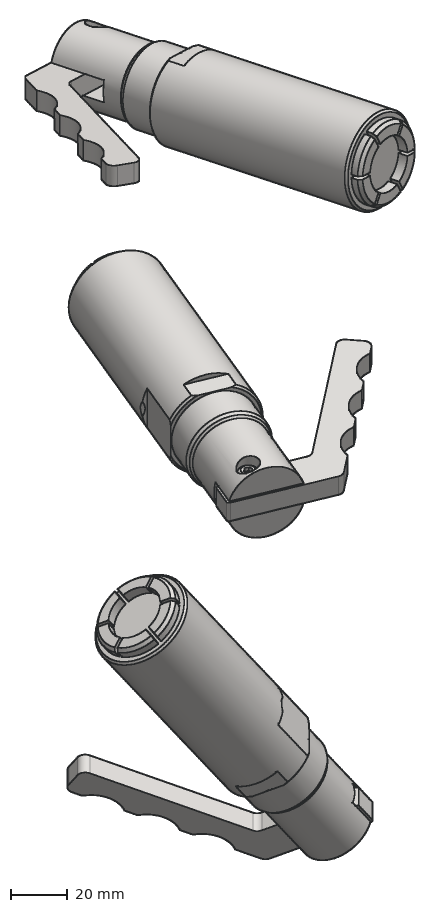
import cadquery as cq
import math

OVERALL_LENGTH = 140.8

SPINDLE_START = 0.5
SPINDLE_RADIUS = 29.7 / 2
NECK_RADIUS = 32.8 / 2
NECK_BEVEL_START = 32.2
NECK_BEVEL_STEEP = 0.8
NECK_BEVEL_LENGTH = 2.3
GRIP_START = 47.7
GRIP_END = 136.7
GRIP_RADIUS = 37.6 / 2
GRIP_CHAMFER = 0.8
COLLAR_RADIUS = 16.0
COLLAR_CHAMFER = 1.3
COLLAR_BORE_DIAMETER = 21.1
COLLAR_SLOTS = 6
COLLAR_SLOT_WIDTH = 1.3

FLAT_DISTANCE = 16.8
WRENCH_FLAT_LENGTH = 7.9
SIDE_FLAT_LENGTH = 21.4
COUNTERSINK_FROM_FLAT_END = 4.4
COUNTERSINK_RADIUS = 5.6

LEVER_THICKNESS = 8.0
LEVER_TOP = 15.0
LEVER_TOP_WIDTH = 10.4
LEVER_WIDTH = 15.3
LEVER_TAPER_END = 2.5
LEVER_TOP_ROUND = 1.0
HANDLE_ANGLE = 30.0
HANDLE_ELBOW = -29.0
HANDLE_THICKNESS = 12.5
HANDLE_LENGTH = 81.4
HANDLE_ROUND = 3.1
INNER_ELBOW_ROUND = 3.1
SCALLOPS = 3
SCALLOP_START = 12.2
SCALLOP_PITCH = 22.4
SCALLOP_CHORD = 17.0
SCALLOP_DEPTH = 3.5

SLOT_WIDTH = 8.6
SLOT_TOP_LENGTH = 12.8
SLOT_BOTTOM_LENGTH = 24.5

PIVOT_X = 6.0
PIVOT_Y = 4.6
HEAD_DIAMETER = 8.3
HEAD_FACE_DIAMETER = 5.4
HEAD_BORE_DIAMETER = 8.5
HEAD_BOTTOM = 8.5
HEAD_HEIGHT = 3.2
HEAD_RIM = 0.4
SHANK_DIAMETER = 4.9
SHANK_BOTTOM = -9.9
HEX_FLATS = 2.8
HEX_DEPTH = 1.5


def housing_blank():
    """Solid of revolution about X with all the outside steps and chamfers."""
    bevel_end = NECK_BEVEL_START + NECK_BEVEL_LENGTH
    profile = [
        (SPINDLE_START, 0),
        (SPINDLE_START, SPINDLE_RADIUS),
        (NECK_BEVEL_START, SPINDLE_RADIUS),
        (NECK_BEVEL_START + NECK_BEVEL_STEEP, SPINDLE_RADIUS + NECK_BEVEL_STEEP),
        (bevel_end, NECK_RADIUS),
        (GRIP_START, NECK_RADIUS),
        (GRIP_START, GRIP_RADIUS - GRIP_CHAMFER),
        (GRIP_START + GRIP_CHAMFER, GRIP_RADIUS),
        (GRIP_END - GRIP_CHAMFER, GRIP_RADIUS),
        (GRIP_END, GRIP_RADIUS - GRIP_CHAMFER),
        (GRIP_END, COLLAR_RADIUS),
        (OVERALL_LENGTH - COLLAR_CHAMFER, COLLAR_RADIUS),
        (OVERALL_LENGTH, COLLAR_RADIUS - COLLAR_CHAMFER),
        (OVERALL_LENGTH, 0),
    ]
    return cq.Workplane("XY").polyline(profile).close().revolve(360, (0, 0, 0), (1, 0, 0))


def collar_cuts():
    """Bore of the end collar and the radial slots through its wall."""
    length = OVERALL_LENGTH - GRIP_END
    cuts = cq.Workplane("YZ", origin=(GRIP_END, 0, 0)).circle(COLLAR_BORE_DIAMETER / 2).extrude(length)
    slot = cq.Workplane("XY").box(length, GRIP_RADIUS, COLLAR_SLOT_WIDTH, centered=(False, False, True))
    slot = slot.translate((GRIP_END, 0, 0))
    for index in range(COLLAR_SLOTS):
        cuts = cuts.union(slot.rotate((0, 0, 0), (1, 0, 0), index * 360 / COLLAR_SLOTS))
    return cuts


def flat_cut(length, angle):
    """Block that mills a flat at the front of the grip; angle turns it from +Z about X."""
    block = cq.Workplane("XY").box(length, 2 * GRIP_RADIUS, GRIP_RADIUS, centered=(False, True, False))
    return block.translate((GRIP_START, 0, FLAT_DISTANCE)).rotate((0, 0, 0), (1, 0, 0), angle)


def side_countersink():
    """45 degree cone that opens outwards from the +Y flat and breaks the flat's end wall."""
    depth = GRIP_RADIUS - FLAT_DISTANCE
    x = GRIP_START + SIDE_FLAT_LENGTH - COUNTERSINK_FROM_FLAT_END
    cone = cq.Solid.makeCone(
        COUNTERSINK_RADIUS - depth, COUNTERSINK_RADIUS, depth,
        cq.Vector(x, FLAT_DISTANCE, 0), cq.Vector(0, 1, 0),
    )
    return cq.Workplane(obj=cone)


def lever_slot():
    """Slot through the spindle with a slanted end."""
    outline = [
        (0, SPINDLE_RADIUS),
        (SLOT_TOP_LENGTH, SPINDLE_RADIUS),
        (SLOT_BOTTOM_LENGTH, -SPINDLE_RADIUS),
        (0, -SPINDLE_RADIUS),
    ]
    return cq.Workplane("XY").polyline(outline).close().extrude(SLOT_WIDTH / 2, both=True)


def pivot_cylinder(diameter, bottom, top):
    return cq.Workplane("XY", origin=(PIVOT_X, PIVOT_Y, bottom)).circle(diameter / 2).extrude(top - bottom)


def make_housing():
    body = housing_blank().cut(collar_cuts())
    body = body.cut(flat_cut(WRENCH_FLAT_LENGTH, 0)).cut(flat_cut(WRENCH_FLAT_LENGTH, 180))
    body = body.cut(flat_cut(SIDE_FLAT_LENGTH, -90)).cut(side_countersink())
    body = body.cut(lever_slot())
    body = body.cut(pivot_cylinder(SHANK_DIAMETER, SHANK_BOTTOM, HEAD_BOTTOM))
    return body.cut(pivot_cylinder(HEAD_BORE_DIAMETER, HEAD_BOTTOM, SPINDLE_RADIUS))


def handle_point(along, inward=0.0):
    """Point on the handle: distance along its outer edge, and inward from that edge."""
    angle = math.radians(HANDLE_ANGLE)
    return (
        along * math.cos(angle) + inward * math.sin(angle),
        HANDLE_ELBOW - along * math.sin(angle) + inward * math.cos(angle),
    )


def round_corner(plate, point, radius):
    """Fillet the upright edge at an (x, y) corner of the plate."""
    return plate.edges(cq.selectors.NearestToPointSelector((*point, 0))).fillet(radius)


def lever_plate():
    """Flat lever: a straight arm in the spindle slot and a handle sloping away from it."""
    angle = math.radians(HANDLE_ANGLE)
    inner_start = (LEVER_WIDTH - HANDLE_THICKNESS * math.sin(angle)) / math.cos(angle)
    inner_elbow = handle_point(inner_start, HANDLE_THICKNESS)
    outer_elbow = handle_point(0)
    outer_tip = handle_point(HANDLE_LENGTH)
    inner_tip = handle_point(HANDLE_LENGTH, HANDLE_THICKNESS)
    outline = cq.Workplane("XY", origin=(0, 0, -LEVER_THICKNESS / 2)).polyline([
        (0, LEVER_TOP),
        (LEVER_TOP_WIDTH, LEVER_TOP),
        (LEVER_WIDTH, LEVER_TAPER_END),
        inner_elbow,
        inner_tip,
        outer_tip,
        outer_elbow,
    ])
    plate = outline.close().extrude(LEVER_THICKNESS)
    plate = round_corner(plate, (0, LEVER_TOP), LEVER_TOP_ROUND)
    plate = round_corner(plate, inner_elbow, INNER_ELBOW_ROUND)
    for corner in (outer_elbow, outer_tip, inner_tip):
        plate = round_corner(plate, corner, HANDLE_ROUND)
    return plate


def finger_scallops():
    """Cylinders that cut the finger grips into the handle's outer edge."""
    radius = (SCALLOP_CHORD**2 / 4 + SCALLOP_DEPTH**2) / (2 * SCALLOP_DEPTH)
    centres = [
        handle_point(SCALLOP_START + SCALLOP_CHORD / 2 + index * SCALLOP_PITCH, SCALLOP_DEPTH - radius)
        for index in range(SCALLOPS)
    ]
    return cq.Workplane("XY").pushPoints(centres).circle(radius).extrude(LEVER_THICKNESS, both=True)


def pivot_screw():
    """Shank and rounded head with a hexagon socket."""
    head_top = HEAD_BOTTOM + HEAD_HEIGHT
    rim_top = HEAD_BOTTOM + HEAD_RIM
    head_radius = HEAD_DIAMETER / 2
    face_radius = HEAD_FACE_DIAMETER / 2
    crown = (
        face_radius + (head_radius - face_radius) * math.sqrt(0.5),
        rim_top + (head_top - rim_top) * math.sqrt(0.5),
    )
    head = (
        cq.Workplane("XZ", origin=(PIVOT_X, PIVOT_Y, 0))
        .moveTo(0, HEAD_BOTTOM)
        .lineTo(head_radius, HEAD_BOTTOM)
        .lineTo(head_radius, rim_top)
        .threePointArc(crown, (face_radius, head_top))
        .lineTo(0, head_top)
        .close()
        .revolve(360, (0, 0, 0), (0, 1, 0))
    )
    hex_corners = HEX_FLATS / math.cos(math.radians(30))
    socket = (
        cq.Workplane("XY", origin=(PIVOT_X, PIVOT_Y, head_top - HEX_DEPTH))
        .transformed(rotate=(0, 0, 30))
        .polygon(6, hex_corners)
        .extrude(HEX_DEPTH)
    )
    return pivot_cylinder(SHANK_DIAMETER, SHANK_BOTTOM, HEAD_BOTTOM).union(head).cut(socket)


def make_lever():
    return lever_plate().cut(finger_scallops()).union(pivot_screw())


housing = make_housing()
lever = make_lever()

result = cq.Compound.makeCompound([housing.val(), lever.val()])